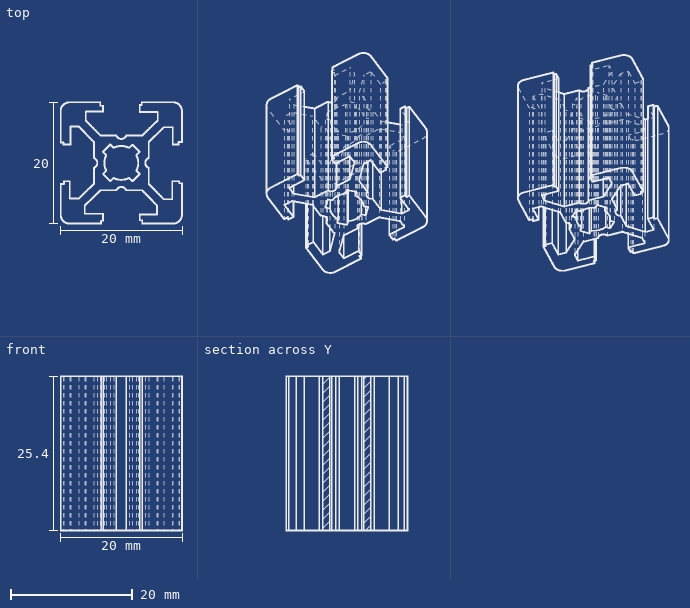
import cadquery as cq

length = 25.4
width = 20.0
half_width = width / 2
corner_radius = 1.5

mouth_half_width = 3.0
floor_distance = 4.52
cavity_shoulder = 6.98
rib_offset = 1.1
floor_half_width = floor_distance - rib_offset

left_step_half_width = 3.43
left_step_depth = 0.55
left_lip_thickness = 1.55
left_cavity_half_width = 5.85
right_step_half_width = 3.33
right_step_depth = 0.45
right_lip_thickness = 1.65
right_cavity_half_width = 5.97

groove_half_width = 0.81
groove_depth = 0.55

bore_radius = 2.77
cross_half_length = 3.4
cross_width = 1.68


def slot_side(step_half_width, step_depth, lip_thickness, cavity_half_width):
    """Points of one slot side from the mouth down to the floor, with positive X."""
    lip_inner = half_width - lip_thickness
    step_level = half_width - step_depth
    return [
        (step_half_width, half_width),
        (step_half_width, step_level),
        (mouth_half_width, step_level),
        (mouth_half_width, lip_inner),
        (cavity_half_width, lip_inner),
        (cavity_half_width, cavity_shoulder),
        (floor_half_width, floor_distance),
    ]


def make_slot():
    """Full-length cutter for the slot that opens toward +Y."""
    right = slot_side(
        right_step_half_width, right_step_depth, right_lip_thickness, right_cavity_half_width
    )
    left = slot_side(
        left_step_half_width, left_step_depth, left_lip_thickness, left_cavity_half_width
    )
    outline = cq.Workplane("XY").moveTo(*right[0])
    for point in right[1:]:
        outline = outline.lineTo(*point)
    outline = outline.lineTo(groove_half_width, floor_distance)
    outline = outline.threePointArc(
        (0, floor_distance - groove_depth), (-groove_half_width, floor_distance)
    )
    for x, y in reversed(left):
        outline = outline.lineTo(-x, y)
    return outline.close().extrude(length)


def make_bore():
    """Full-length cutter for the round bore and its diagonal cross."""
    bore = cq.Workplane("XY").circle(bore_radius).extrude(length)
    for angle in (45, 135):
        arm = (
            cq.Workplane("XY")
            .rect(2 * cross_half_length, cross_width)
            .extrude(length)
            .rotate((0, 0, 0), (0, 0, 1), angle)
        )
        bore = bore.union(arm)
    return bore


body = cq.Workplane("XY").rect(width, width).extrude(length)
body = body.edges("|Z").fillet(corner_radius)

slot = make_slot()
for angle in (0, 90, 180, 270):
    body = body.cut(slot.rotate((0, 0, 0), (0, 0, 1), angle))

result = body.cut(make_bore())